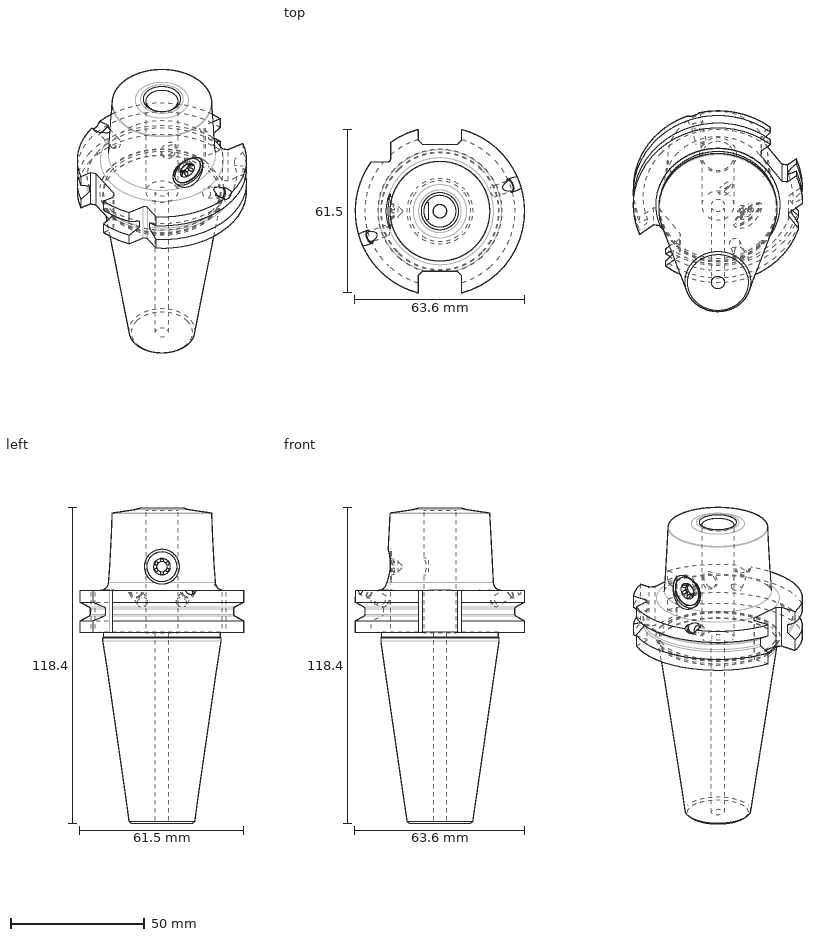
import cadquery as cq
import math

gauge_diameter = 44.45
gauge_radius = gauge_diameter / 2
taper_length = 68.4
taper_ratio = 7 / 24
tip_radius = gauge_radius - taper_length * taper_ratio / 2
tip_chamfer = 0.8
gauge_land_top = 1.15
neck_radius = 21.95
neck_chamfer = 0.45

flange_radius = 31.775
flange_bottom = 3.2
relief_radius = 23.3
relief_depth = 0.3
flange_top = 19.1
groove_center = 11.1
groove_floor_radius = 28.125
groove_floor_width = 2.95
groove_mouth_width = 7.0
groove_fillet = 0.8

top_height = 50.0
collar_foot_radius = 20.25
collar_foot_fillet = 3.0
collar_taper_angle = 3
collar_edge_height = 48.1
collar_edge_fillet = 0.2
lip_outer_radius = 10.0
lip_radius = 8.0
lip_drop = 0.6
bore_radius = 6.0
bore_chamfer = 1.0
bore_depth = 47.0
coolant_radius = 2.5

slot_width = 16.1
slot_floor_back = 25.1
slot_floor_front = 22.6
slot_chamfer = 1.5
notch_distance = 18.5
notch_fillet = 1.2

rim_hole_angles = (20, 200)
rim_hole_slope = 30
rim_hole_mouth = 29.2
rim_counterbore_radius = 2.6
rim_counterbore_depth = 1.45
rim_drill_radius = 2.05
rim_drill_depth = 9.0
drill_point_angle = 118

screw_height = 27.95
spotface_radius = 6.55
spotface_floor = 18.5
screw_face = 18.2
screw_radius = 5.6
screw_point = 4.35
screw_point_radius = 3.2
socket_countersink_radius = 3.1
socket_core_radius = 1.95
socket_lobe_radius = 0.6
socket_lobe_center = 2.35
socket_lobe_count = 6
socket_depth = 2.5


def make_body():
    """Turned outline of shank, flange and collar, revolved about Z."""
    half_floor = groove_floor_width / 2
    half_mouth = groove_mouth_width / 2
    collar_edge_radius = collar_foot_radius - (collar_edge_height - flange_top) * math.tan(
        math.radians(collar_taper_angle)
    )
    outline = [
        (0, -taper_length),
        (tip_radius - tip_chamfer, -taper_length),
        (tip_radius + tip_chamfer * taper_ratio / 2, -taper_length + tip_chamfer),
        (gauge_radius, 0),
        (gauge_radius, gauge_land_top),
        (neck_radius, gauge_land_top + neck_chamfer),
        (neck_radius, flange_bottom + relief_depth),
        (relief_radius, flange_bottom + relief_depth),
        (relief_radius, flange_bottom),
        (flange_radius, flange_bottom),
        (flange_radius, groove_center - half_mouth),
        (groove_floor_radius, groove_center - half_floor),
        (groove_floor_radius, groove_center + half_floor),
        (flange_radius, groove_center + half_mouth),
        (flange_radius, flange_top),
        (collar_foot_radius, flange_top),
        (collar_edge_radius, collar_edge_height),
        (lip_outer_radius, top_height - lip_drop),
        (lip_radius, top_height),
        (0, top_height),
    ]
    body = cq.Workplane("XZ").polyline(outline).close().revolve(360, (0, 0, 0), (0, 1, 0))
    body = fillet_circle(body, collar_edge_radius, collar_edge_height, collar_edge_fillet)
    body = fillet_circle(body, collar_foot_radius, flange_top, collar_foot_fillet)
    for side in (-1, 1):
        body = fillet_circle(body, groove_floor_radius, groove_center + side * half_floor, groove_fillet)
    return body


def fillet_circle(body, radius, height, fillet_radius):
    """Fillet the circular edge of the given radius that lies at the given height."""
    tolerance = 1e-3
    circles = [
        edge
        for edge in body.edges("%CIRCLE").vals()
        if abs(edge.radius() - radius) < tolerance and abs(edge.Center().z - height) < tolerance
    ]
    return body.newObject(circles).fillet(fillet_radius)


def make_bore():
    """Blind tool bore with a chamfered mouth, and a coolant hole down to the shank tip."""
    bore_floor = top_height - bore_depth
    outline = [
        (0, -taper_length),
        (coolant_radius, -taper_length),
        (coolant_radius, bore_floor),
        (bore_radius, bore_floor),
        (bore_radius, top_height - bore_chamfer),
        (bore_radius + bore_chamfer, top_height),
        (0, top_height),
    ]
    return cq.Workplane("XZ").polyline(outline).close().revolve(360, (0, 0, 0), (0, 1, 0))


def make_slot(floor_distance, side):
    """Drive slot through the flange; side is +1 for +Y and -1 for -Y."""
    half_width = slot_width / 2
    outline = [
        (-half_width, side * flange_radius),
        (-half_width, side * (floor_distance + slot_chamfer)),
        (-half_width + slot_chamfer, side * floor_distance),
        (half_width - slot_chamfer, side * floor_distance),
        (half_width, side * (floor_distance + slot_chamfer)),
        (half_width, side * flange_radius),
    ]
    return flange_prism(cq.Workplane("XY").workplane(offset=flange_bottom).polyline(outline).close())


def make_notch():
    """Square orientation notch with a rounded inner corner at the -X, +Y rim."""
    size = flange_radius - notch_distance
    center = notch_distance + size / 2
    notch = flange_prism(
        cq.Workplane("XY").workplane(offset=flange_bottom).center(-center, center).rect(size, size)
    )
    return notch.edges("|Z").edges(">X and <Y").fillet(notch_fillet)


def flange_prism(sketch):
    """Extrude a sketch lying on the flange underside up to the collar foot fillet."""
    return sketch.extrude(flange_top + collar_foot_fillet - flange_bottom)


def make_rim_hole(angle):
    """Counterbored drill hole that slants inward and down from the outer edge of the flange top."""
    slope = math.radians(rim_hole_slope)
    point_length = rim_drill_radius / math.tan(math.radians(drill_point_angle / 2))
    run_out = 3 * rim_counterbore_radius
    outline = [
        (0, -run_out),
        (rim_counterbore_radius, -run_out),
        (rim_counterbore_radius, rim_counterbore_depth),
        (rim_drill_radius, rim_counterbore_depth),
        (rim_drill_radius, rim_drill_depth),
        (0, rim_drill_depth + point_length),
    ]
    axis_plane = cq.Plane(
        origin=(rim_hole_mouth, 0, flange_top),
        xDir=(-math.sin(slope), 0, math.cos(slope)),
        normal=(0, -1, 0),
    )
    hole = cq.Workplane(axis_plane).polyline(outline).close().revolve(360, (0, 0, 0), (0, 1, 0))
    return hole.rotate((0, 0, 0), (0, 0, 1), angle)


def screw_cylinder(radius, start, end):
    """Cylinder on the screw axis between two distances from the Z axis on the -X side."""
    plane = cq.Plane(origin=(-start, 0, screw_height), xDir=(0, 1, 0), normal=(1, 0, 0))
    return cq.Workplane(plane).circle(radius).extrude(start - end)


def make_screw_recess():
    """Spotface in the collar with the slightly sunken screw face."""
    spotface = screw_cylinder(spotface_radius, flange_radius, spotface_floor)
    return spotface.union(screw_cylinder(screw_radius, flange_radius, screw_face))


def make_screw_socket():
    """Six-lobe drive socket with a countersunk mouth and a conical floor."""
    socket_floor = screw_face - socket_depth
    countersink_depth = socket_countersink_radius - socket_core_radius
    core = [
        (-screw_face, 0),
        (-screw_face, socket_countersink_radius),
        (-screw_face + countersink_depth, socket_core_radius),
        (-socket_floor, socket_core_radius),
        (-socket_floor + socket_core_radius, 0),
    ]
    socket = cq.Workplane("XY").polyline(core).close().revolve(360, (0, 0, 0), (1, 0, 0))
    socket = socket.translate((0, 0, screw_height))
    for index in range(socket_lobe_count):
        angle = 2 * math.pi * index / socket_lobe_count
        lobe = screw_cylinder(socket_lobe_radius, screw_face, socket_floor)
        socket = socket.union(
            lobe.translate((0, socket_lobe_center * math.sin(angle), socket_lobe_center * math.cos(angle)))
        )
    return socket


result = make_body()
result = result.cut(make_bore())
result = result.cut(make_slot(slot_floor_back, 1))
result = result.cut(make_slot(slot_floor_front, -1))
result = result.cut(make_notch())
for hole_angle in rim_hole_angles:
    result = result.cut(make_rim_hole(hole_angle))
result = result.cut(make_screw_recess())
result = result.cut(make_screw_socket())
result = result.union(screw_cylinder(screw_point_radius, bore_radius + bore_chamfer, screw_point))